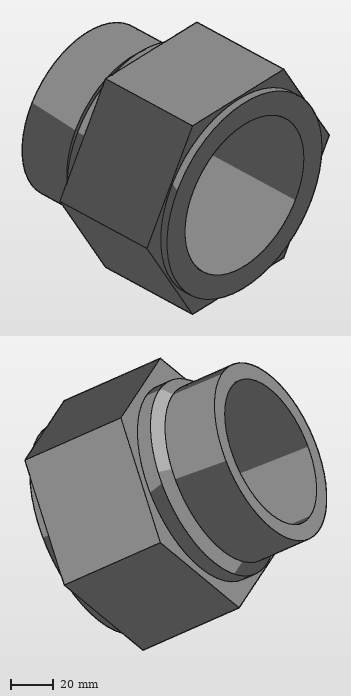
import cadquery as cq
import math

tube_diameter = 89.92
collar_diameter = 99.71
rear_lip_diameter = 107.12
bore_diameter = 73.51
counterbore_diameter = 82.14

hex_across_flats = 109.22
hex_across_corners = hex_across_flats / math.cos(math.pi / 6)

total_length = 101.6
tube_end = 28.9
hex_start = 41.4
hex_end = 97.55
counterbore_start = 41.7

cone_end = tube_end + (collar_diameter - tube_diameter) / 2


def cylinder(diameter, start, end):
    """Solid cylinder about the X axis between two stations."""
    return cq.Workplane("YZ", origin=(start, 0, 0)).circle(diameter / 2).extrude(end - start)


def tube_and_collar():
    """Tube that flares through a cone into the collar, as one revolved profile."""
    tube_radius = tube_diameter / 2
    collar_radius = collar_diameter / 2
    profile = (
        cq.Workplane("XY")
        .moveTo(0, 0)
        .lineTo(0, tube_radius)
        .lineTo(tube_end, tube_radius)
        .lineTo(cone_end, collar_radius)
        .lineTo(hex_start, collar_radius)
        .lineTo(hex_start, 0)
        .close()
    )
    return profile.revolve(360, (0, 0, 0), (1, 0, 0))


def hexagon():
    """Hexagonal body with corners on +Y and -Y and flats on +Z and -Z."""
    outline = cq.Workplane("YZ", origin=(hex_start, 0, 0)).polygon(6, hex_across_corners)
    return outline.extrude(hex_end - hex_start)


rear_lip = cylinder(rear_lip_diameter, hex_end, total_length)
outer_body = tube_and_collar().union(hexagon()).union(rear_lip)

bore = cylinder(bore_diameter, 0, total_length)
counterbore = cylinder(counterbore_diameter, counterbore_start, total_length)

result = outer_body.cut(bore).cut(counterbore)